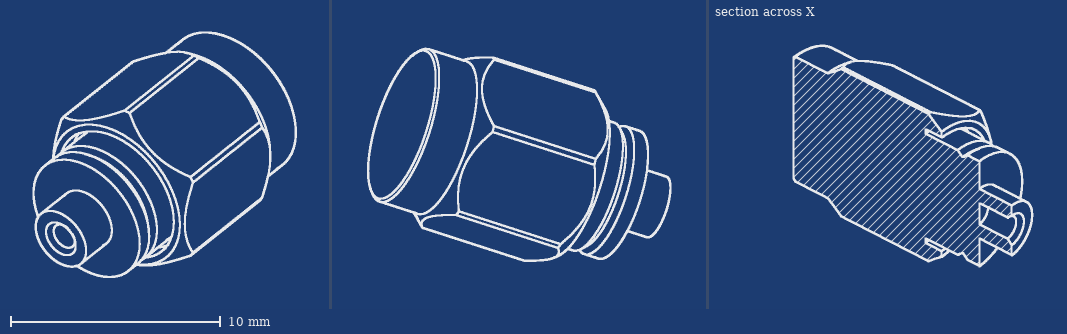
import cadquery as cq

total_length = 13.49

stub_diameter = 3.05
stub_length = 2.0
bore_diameter = 1.27
bore_mouth_diameter = 1.79
bore_mouth_depth = 0.26
bore_depth = stub_length

body_diameter = 6.41
flange_thickness = 0.74
groove_depth = 0.28
groove_half_width = 0.3
flange_end = stub_length + flange_thickness
groove_diameter = body_diameter - 2 * groove_depth

nut_start = 4.33
nut_length = 7.03
nut_end = nut_start + nut_length
hex_sides = 6
nut_across_flats = 7.94
nut_corner_diameter = 9.0
nut_face_diameter = 7.64
nut_chamfer_length = 0.82

nut_bore_diameter = 6.91
gap_depth = 1.0

collar_diameter = nut_face_diameter
collar_chamfer = 0.127


def revolve(profile):
    """Solid of revolution about Y from (radius, station) points."""
    return cq.Workplane("XY").polyline(profile).close().revolve(360, (0, 0, 0), (0, 1, 0))


def cylinder(diameter, start, end):
    """Round bar on the Y axis between two stations."""
    return revolve([(0, start), (diameter / 2, start), (diameter / 2, end), (0, end)])


def make_nut():
    """Hexagon with flats on +X and -X, turned to round corners and coned at both faces."""
    face_radius = nut_face_diameter / 2
    corner_radius = nut_corner_diameter / 2
    hexagon = (
        cq.Workplane("XZ", origin=(0, nut_end, 0))
        .polygon(hex_sides, nut_across_flats, circumscribed=True)
        .extrude(nut_length)
    )
    turned_blank = revolve(
        [
            (0, nut_start),
            (face_radius, nut_start),
            (corner_radius, nut_start + nut_chamfer_length),
            (corner_radius, nut_end - nut_chamfer_length),
            (face_radius, nut_end),
            (0, nut_end),
        ]
    )
    clearance = cylinder(nut_bore_diameter, nut_start, nut_start + gap_depth)
    return hexagon.intersect(turned_blank).cut(clearance)


def make_collar():
    """Plain round collar with a small chamfer on its free edge."""
    collar = cylinder(collar_diameter, nut_end, total_length)
    return collar.faces(">Y").edges().chamfer(collar_chamfer)


def make_body():
    """Cable stub, flange, V groove and the barrel that runs into the nut."""
    stub_radius = stub_diameter / 2
    body_radius = body_diameter / 2
    return revolve(
        [
            (0, 0),
            (stub_radius, 0),
            (stub_radius, stub_length),
            (body_radius, stub_length),
            (body_radius, flange_end),
            (groove_diameter / 2, flange_end + groove_half_width),
            (body_radius, flange_end + 2 * groove_half_width),
            (body_radius, nut_end),
            (0, nut_end),
        ]
    )


def make_bore():
    """Blind cable bore with a conical mouth."""
    bore_radius = bore_diameter / 2
    return revolve(
        [
            (0, 0),
            (bore_mouth_diameter / 2, 0),
            (bore_radius, bore_mouth_depth),
            (bore_radius, bore_depth),
            (0, bore_depth),
        ]
    )


result = make_nut().union(make_collar()).union(make_body()).cut(make_bore())